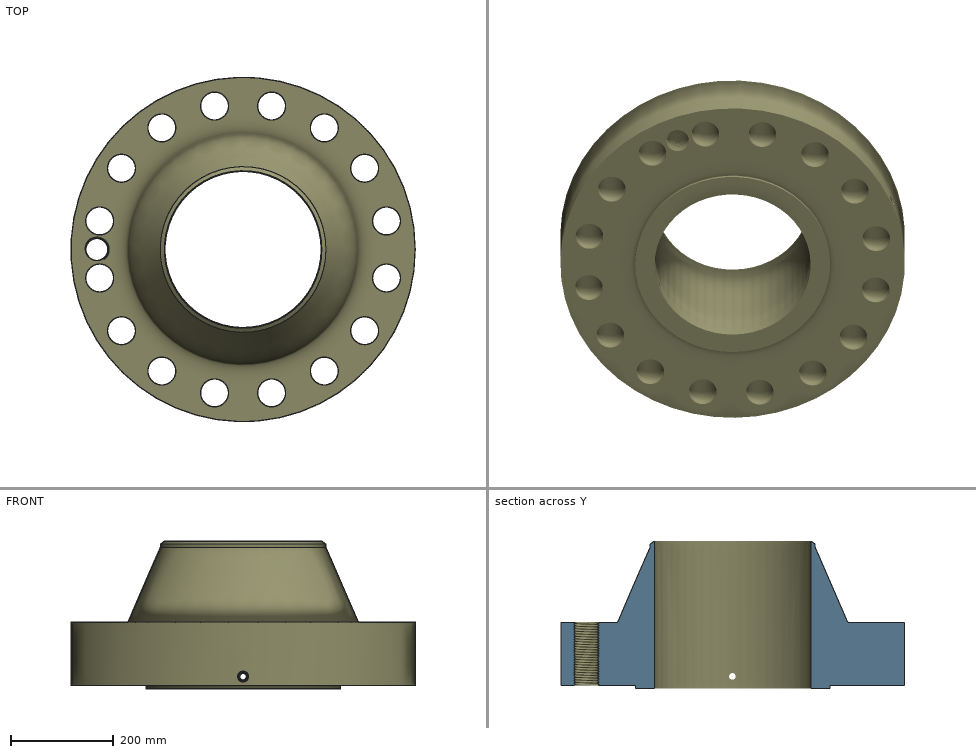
import cadquery as cq
import math

total_height = 288.8
flange_diameter = 673.1
flange_thickness = 124.0
face_diameter = 381.0
face_height = 6.35
flange_top = face_height + flange_thickness

bore_diameter = 304.8
hub_base_diameter = 450.85
hub_base_fillet = 3.0
weld_end_diameter = 323.85
weld_land_width = 1.6
weld_bevel_angle = 37.5
weld_neck_length = 6.0
weld_bevel_width = (weld_end_diameter - bore_diameter) / 2 - weld_land_width
weld_bevel_height = weld_bevel_width * math.tan(math.radians(weld_bevel_angle))

bolt_count = 16
bolt_circle_diameter = 571.5
bolt_hole_diameter = 54.0
bolt_pitch_angle = 360 / bolt_count

jack_major_diameter = 48.0
jack_pitch = 5.0
jack_thread_depth = 2.7

tap_height = 24.0
tap_bore_diameter = 12.7
tap_major_diameter = 21.3
tap_pitch = 1.814
tap_thread_depth = 1.1
tap_thread_length = 14.0
tap_radius_slope = 1 / 32

thread_flank_angle = 30.0
ridge_overlap = 0.1
turns_per_stretch = 2


def make_body():
    """Revolved flange, hub and bore, with a fillet where the hub meets the flange."""
    bore_radius = bore_diameter / 2
    weld_end_radius = weld_end_diameter / 2
    bevel_base = total_height - weld_bevel_height
    body = (
        cq.Workplane("XZ")
        .moveTo(bore_radius, 0)
        .lineTo(face_diameter / 2, 0)
        .lineTo(face_diameter / 2, face_height)
        .lineTo(flange_diameter / 2, face_height)
        .lineTo(flange_diameter / 2, flange_top)
        .lineTo(hub_base_diameter / 2, flange_top)
        .lineTo(weld_end_radius, bevel_base - weld_neck_length)
        .lineTo(weld_end_radius, bevel_base)
        .lineTo(bore_radius + weld_land_width, total_height)
        .lineTo(bore_radius, total_height)
        .close()
        .revolve(360, (0, 0, 0), (0, 1, 0))
    )
    root_edges = [
        edge
        for edge in body.edges("%CIRCLE").vals()
        if abs(edge.radius() - hub_base_diameter / 2) < 0.01
    ]
    return body.newObject(root_edges).fillet(hub_base_fillet)


def cut_bolt_holes(body):
    holes = (
        cq.Workplane("XY")
        .polarArray(bolt_circle_diameter / 2, bolt_pitch_angle / 2, 360, bolt_count)
        .circle(bolt_hole_diameter / 2)
        .extrude(flange_top)
    )
    return body.cut(holes)


def threaded_plug(root_radius, turns, pitch, depth, slope=0.0):
    """Plug from Z = 0 along +Z with a helical V ridge, plain for one pitch at either end.

    The ridge is built from short helical stretches. The slope is the growth in radius
    per length of a tapered thread; the root radius is measured at Z = 0.
    """
    stretch = turns_per_stretch * pitch
    stretch_count = math.ceil(turns / turns_per_stretch)
    length = stretch_count * stretch + 2 * pitch
    flank = math.tan(math.radians(thread_flank_angle))
    crest_half = pitch / 16
    base_half = crest_half + (depth + ridge_overlap) * flank
    plug = (
        cq.Workplane("XZ")
        .lineTo(root_radius, 0)
        .lineTo(root_radius + length * slope, length)
        .lineTo(0, length)
        .close()
        .revolve(360, (0, 0, 0), (0, 1, 0))
        .val()
    )
    ridges = []
    for index in range(stretch_count):
        start_height = pitch + index * stretch
        surface_radius = root_radius + start_height * slope
        base_radius = surface_radius - ridge_overlap
        crest_radius = surface_radius + depth
        if slope:
            helix = cq.Wire.makeHelix(
                pitch, stretch, base_radius, angle=math.degrees(math.atan(slope))
            )
        else:
            helix = cq.Wire.makeHelix(pitch, stretch, base_radius)
        profile = (
            cq.Workplane("XZ")
            .moveTo(base_radius, -base_half)
            .lineTo(crest_radius, -crest_half)
            .lineTo(crest_radius, crest_half)
            .lineTo(base_radius, base_half)
            .close()
        )
        ridge = profile.sweep(cq.Workplane(helix), isFrenet=True).val()
        ridges.append(ridge.translate(cq.Vector(0, 0, start_height)))
    return cq.Workplane(plug.fuse(*ridges))


def cut_jackscrew_hole(body):
    """Hole tapped through the whole flange thickness."""
    plug = threaded_plug(
        jack_major_diameter / 2 - jack_thread_depth,
        flange_thickness / jack_pitch + 1,
        jack_pitch,
        jack_thread_depth,
    )
    return body.cut(plug.translate((-bolt_circle_diameter / 2, 0, face_height - 1.5 * jack_pitch)))


def cut_pressure_tap(body):
    """Bore through both flange walls along Y, tapped where it opens on the -Y side."""
    bore = (
        cq.Workplane("XZ")
        .circle(tap_bore_diameter / 2)
        .extrude(flange_diameter / 2, both=True)
        .translate((0, 0, tap_height))
    )
    mouth_radius = tap_major_diameter / 2 - tap_thread_depth
    plug = threaded_plug(
        mouth_radius - tap_thread_length * tap_radius_slope,
        tap_thread_length / tap_pitch,
        tap_pitch,
        tap_thread_depth,
        tap_radius_slope,
    )
    mouth_at_rim = (0, tap_thread_length - flange_diameter / 2, tap_height)
    return body.cut(bore).cut(plug.rotate((0, 0, 0), (1, 0, 0), 90).translate(mouth_at_rim))


result = make_body()
result = cut_bolt_holes(result)
result = cut_jackscrew_hole(result)
result = cut_pressure_tap(result)